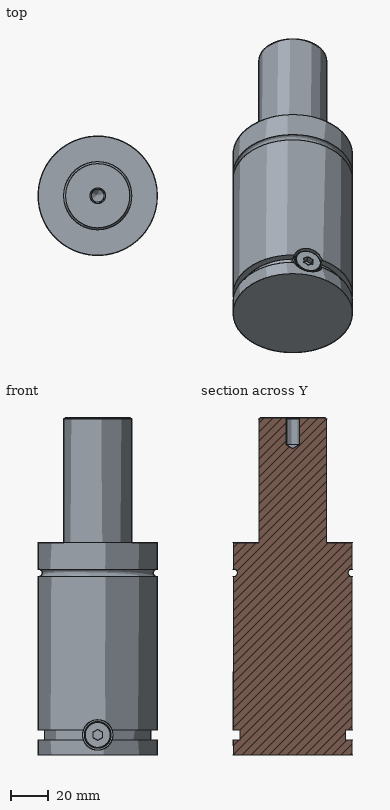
import cadquery as cq
import math

total_height = 178.0
body_diameter = 63.0
body_height = 112.0
rod_diameter = 36.0
rod_chamfer_width = 1.0
rod_chamfer_height = 0.7
body_radius = body_diameter / 2
rod_radius = rod_diameter / 2

base_groove_bottom = 8.0
base_groove_top = 13.2
base_groove_radius = 28.1

collar_groove_bottom = 94.2
collar_groove_top = 97.9
collar_groove_depth = 2.1

rod_hole_diameter = 6.8
rod_hole_mouth_diameter = 8.2
rod_hole_depth = 14.2
drill_point_angle = 118.0

plug_height = (base_groove_bottom + base_groove_top) / 2
plug_diameter = 14.0
plug_face_offset = 30.8
plug_chamfer = 0.45
seat_diameter = 16.0
seat_offset = 26.7
hex_across_flats = 5.0
hex_depth = 3.5


def make_body():
    """Revolve the stepped body, its two grooves and the rod."""
    collar_groove_middle = (collar_groove_bottom + collar_groove_top) / 2
    return (
        cq.Workplane("XZ")
        .lineTo(body_radius, 0)
        .lineTo(body_radius, base_groove_bottom)
        .lineTo(base_groove_radius, base_groove_bottom)
        .lineTo(base_groove_radius, base_groove_top)
        .lineTo(body_radius, base_groove_top)
        .lineTo(body_radius, collar_groove_bottom)
        .threePointArc(
            (body_radius - collar_groove_depth, collar_groove_middle),
            (body_radius, collar_groove_top),
        )
        .lineTo(body_radius, body_height)
        .lineTo(rod_radius, body_height)
        .lineTo(rod_radius, total_height - rod_chamfer_height)
        .lineTo(rod_radius - rod_chamfer_width, total_height)
        .lineTo(0, total_height)
        .close()
        .revolve(360, (0, 0, 0), (0, 1, 0))
    )


def make_rod_hole():
    """Revolve the countersunk blind hole with its conical drill point."""
    hole_radius = rod_hole_diameter / 2
    mouth_radius = rod_hole_mouth_diameter / 2
    mouth_depth = mouth_radius - hole_radius
    point_depth = hole_radius / math.tan(math.radians(drill_point_angle / 2))
    hole_bottom = total_height - rod_hole_depth
    return (
        cq.Workplane("XZ")
        .moveTo(0, total_height)
        .lineTo(mouth_radius, total_height)
        .lineTo(hole_radius, total_height - mouth_depth)
        .lineTo(hole_radius, hole_bottom)
        .lineTo(0, hole_bottom - point_depth)
        .close()
        .revolve(360, (0, 0, 0), (0, 1, 0))
    )


def plug_plane(offset):
    """Plane facing -Y at the given distance from the cylinder axis."""
    return cq.Workplane("XZ", origin=(0, -offset, plug_height))


def make_seat():
    """Round counterbore cut into the body around the plug."""
    return (
        plug_plane(seat_offset)
        .circle(seat_diameter / 2)
        .extrude(body_radius - seat_offset)
    )


def make_plug():
    """Chamfered round plug with a hexagon socket, corners up and down."""
    hex_across_corners = hex_across_flats / math.cos(math.pi / 6)
    plug = (
        plug_plane(seat_offset)
        .circle(plug_diameter / 2)
        .extrude(plug_face_offset - seat_offset)
        .faces("<Y")
        .chamfer(plug_chamfer)
    )
    socket = (
        plug_plane(plug_face_offset - hex_depth)
        .transformed(rotate=(0, 0, 90))
        .polygon(6, hex_across_corners)
        .extrude(hex_depth)
    )
    return plug.cut(socket)


result = (
    make_body()
    .cut(make_rod_hole())
    .cut(make_seat())
    .union(make_plug())
)